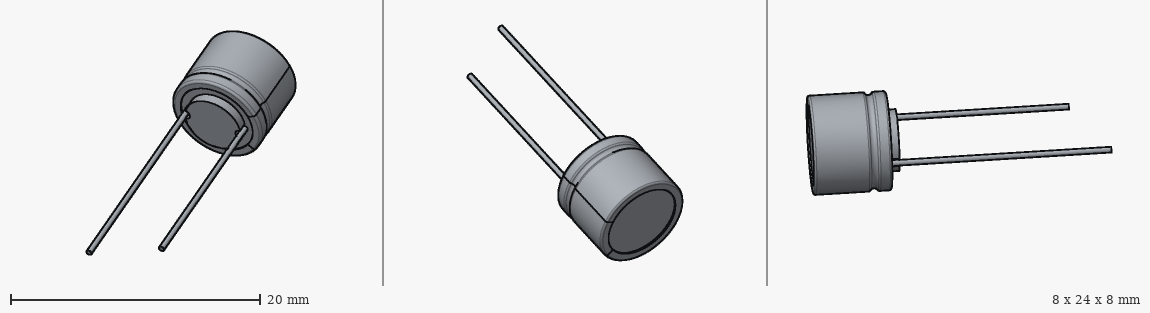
import cadquery as cq
import math

TOTAL_LENGTH = 24.0
CASE_DIAMETER = 8.0
CASE_RADIUS = CASE_DIAMETER / 2
CASE_LENGTH = 6.3

SLEEVE_THICKNESS = 0.15
SLEEVE_OPENING_RADIUS = 3.25
STRIPE_HALF_ANGLE = 30.0
FRONT_ROUND = 0.22
BACK_ROUND = 0.17

GROOVE_DEPTH = 0.25
GROOVE_HALF_WIDTH = 0.45
GROOVE_SHOULDER_RADIUS = 0.22
GROOVE_FROM_FRONT = 1.42

PLUG_RADIUS = 2.5
PLUG_PROTRUSION = 0.7
LEAD_SPACING = 5.0
LEAD_RADIUS = 0.25
LEAD_NOTCH_RADIUS = 0.45
SHORT_LEAD_CUTBACK = 3.0

LONG_LEAD_END = -TOTAL_LENGTH / 2
SHORT_LEAD_END = LONG_LEAD_END + SHORT_LEAD_CUTBACK
CASE_BACK = TOTAL_LENGTH / 2
CASE_FRONT = CASE_BACK - CASE_LENGTH
CORE_FRONT = CASE_FRONT + SLEEVE_THICKNESS
PLUG_FRONT = CASE_FRONT - PLUG_PROTRUSION
GROOVE_CENTRE = CASE_FRONT + GROOVE_FROM_FRONT

GROOVE_ARC_DISTANCE = (GROOVE_HALF_WIDTH**2 + GROOVE_DEPTH**2) / (2 * GROOVE_DEPTH)
GROOVE_ARC_ANGLE = math.asin(GROOVE_HALF_WIDTH / GROOVE_ARC_DISTANCE)


def revolve_case(inset):
    """Solid of revolution lying a constant distance inside the case surface."""
    radius = CASE_RADIUS - inset
    front = CASE_FRONT + inset
    back = CASE_BACK - inset
    front_round = FRONT_ROUND - inset
    back_round = BACK_ROUND - inset
    shoulder = GROOVE_SHOULDER_RADIUS - inset
    root_radius = radius - GROOVE_DEPTH
    shoulder_centre = radius - shoulder

    def shoulder_point(side, angle):
        return (
            shoulder_centre + shoulder * math.cos(angle),
            GROOVE_CENTRE + side * (GROOVE_HALF_WIDTH - shoulder * math.sin(angle)),
        )

    def round_middle(centre_x, centre_y, size, side):
        reach = size * math.sqrt(0.5)
        return (centre_x + reach, centre_y + side * reach)

    front_centre = (radius - front_round, front + front_round)
    back_centre = (radius - back_round, back - back_round)
    half_angle = GROOVE_ARC_ANGLE / 2
    return (
        cq.Workplane("XY")
        .moveTo(0, front)
        .lineTo(front_centre[0], front)
        .threePointArc(round_middle(*front_centre, front_round, -1), (radius, front_centre[1]))
        .lineTo(*shoulder_point(-1, 0))
        .threePointArc(shoulder_point(-1, half_angle), shoulder_point(-1, GROOVE_ARC_ANGLE))
        .threePointArc((root_radius, GROOVE_CENTRE), shoulder_point(1, GROOVE_ARC_ANGLE))
        .threePointArc(shoulder_point(1, half_angle), shoulder_point(1, 0))
        .lineTo(radius, back_centre[1])
        .threePointArc(round_middle(*back_centre, back_round, 1), (back_centre[0], back))
        .lineTo(0, back)
        .close()
        .revolve(360, (0, 0, 0), (0, 1, 0))
    )


def cylinder_along_y(x, radius, y_start, y_end):
    return (
        cq.Workplane("XZ", origin=(x, y_end, 0))
        .circle(radius)
        .extrude(y_end - y_start)
    )


def make_sleeve_shell():
    """Full sleeve, open in the middle of both ends, before the stripe is split off."""
    opening = cylinder_along_y(0, SLEEVE_OPENING_RADIUS, CASE_FRONT, CASE_BACK)
    return revolve_case(0).cut(revolve_case(SLEEVE_THICKNESS)).cut(opening)


def make_stripe_wedge():
    """Triangular prism from the axis that contains the stripe sector."""
    reach = 2 * CASE_RADIUS
    half_height = reach * math.tan(math.radians(STRIPE_HALF_ANGLE))
    return (
        cq.Workplane("XZ", origin=(0, CASE_BACK, 0))
        .polyline([(0, 0), (reach, -half_height), (reach, half_height)])
        .close()
        .extrude(CASE_LENGTH)
    )


def make_core():
    """Capacitor core with the plug in front, notched where the leads come out."""
    plug = cylinder_along_y(0, PLUG_RADIUS, PLUG_FRONT, CORE_FRONT)
    for x in (-LEAD_SPACING / 2, LEAD_SPACING / 2):
        plug = plug.cut(cylinder_along_y(x, LEAD_NOTCH_RADIUS, PLUG_FRONT, CORE_FRONT))
    return revolve_case(SLEEVE_THICKNESS).union(plug)


def make_lead(x, end):
    return cylinder_along_y(x, LEAD_RADIUS, end, CORE_FRONT)


sleeve_shell = make_sleeve_shell()
stripe_wedge = make_stripe_wedge()
sleeve = sleeve_shell.cut(stripe_wedge)
stripe = sleeve_shell.intersect(stripe_wedge)
core = make_core()
leads = [
    make_lead(x, end)
    for x, end in ((-LEAD_SPACING / 2, LONG_LEAD_END), (LEAD_SPACING / 2, SHORT_LEAD_END))
]

result = cq.Compound.makeCompound(
    [sleeve.val(), stripe.val(), core.val(), *[lead.val() for lead in leads]]
)